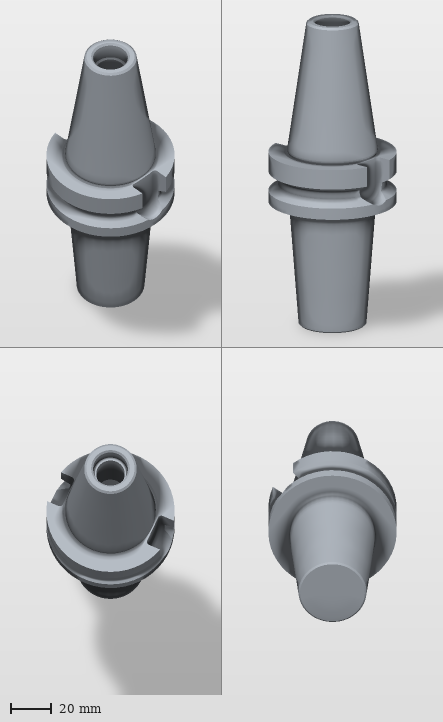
import cadquery as cq
import math

total_height = 155.4
gauge_height = 90.0
flange_top = 88.5
upper_rim_bottom = 78.5
lower_rim_top = 68.7
flange_bottom = 63.0
nose_cone_top = 57.0

flange_diameter = 63.0
flange_radius = flange_diameter / 2
v_groove_radius = 26.5
gauge_radius = 22.2
shank_end_radius = 12.7
neck_radius = 21.0
nose_end_radius = 16.6

end_chamfer = 1.0
nose_chamfer = 0.8
neck_fillet = 1.5
v_groove_fillet = 1.0
v_groove_slope = math.radians(30)

relief_outer_radius = 23.8
relief_radius = 21.8
relief_depth = 0.3
relief_floor_radius = 23.0
gauge_band_width = 0.8
relief_top = gauge_height - gauge_band_width

slot_width = 16.3
slot_bottom = 67.1
slot_floor = 22.7
slot_floor_fillet = 1.7

bore_radius = 8.5
bore_depth = 8.9
bore_chamfer = 1.0
drill_radius = 7.0
drill_depth = 38.8
drill_tip_angle = math.radians(118)


def revolved_body():
    groove_rise = (flange_radius - v_groove_radius) * math.tan(v_groove_slope)
    nose_slope = (neck_radius - nose_end_radius) / nose_cone_top
    shank_slope = (gauge_radius - shank_end_radius) / (total_height - gauge_height)
    fillet_offset = neck_fillet * math.sqrt(0.5)
    fillet_center = (neck_radius + neck_fillet, flange_bottom - neck_fillet)
    return (
        cq.Workplane("XZ")
        .lineTo(nose_end_radius - nose_chamfer, 0)
        .lineTo(nose_end_radius + nose_chamfer * nose_slope, nose_chamfer)
        .lineTo(neck_radius, nose_cone_top)
        .lineTo(neck_radius, fillet_center[1])
        .threePointArc(
            (fillet_center[0] - fillet_offset, fillet_center[1] + fillet_offset),
            (fillet_center[0], flange_bottom),
        )
        .lineTo(flange_radius, flange_bottom)
        .lineTo(flange_radius, lower_rim_top)
        .lineTo(v_groove_radius, lower_rim_top + groove_rise)
        .lineTo(v_groove_radius, upper_rim_bottom - groove_rise)
        .lineTo(flange_radius, upper_rim_bottom)
        .lineTo(flange_radius, flange_top)
        .lineTo(relief_outer_radius, flange_top)
        .lineTo(relief_floor_radius, flange_top - relief_depth)
        .lineTo(relief_radius, flange_top - relief_depth)
        .lineTo(relief_radius, relief_top)
        .lineTo(gauge_radius, relief_top)
        .lineTo(gauge_radius, gauge_height)
        .lineTo(shank_end_radius + end_chamfer * shank_slope, total_height - end_chamfer)
        .lineTo(shank_end_radius - end_chamfer, total_height)
        .lineTo(0, total_height)
        .close()
        .revolve(360, (0, 0), (0, 1))
    )


def fillet_v_groove(body):
    """Round the two inner corners of the V groove."""
    reach = v_groove_radius + v_groove_fillet / 2
    corners = body.edges(
        cq.selectors.BoxSelector(
            (-reach, -reach, lower_rim_top),
            (reach, reach, upper_rim_bottom),
            boundingbox=True,
        )
    ).edges("%CIRCLE")
    return corners.fillet(v_groove_fillet)


def drive_slot():
    """Round-bottomed slot cutter on the +X side, open at the top and outside."""
    half_width = slot_width / 2
    arc_center = slot_bottom + half_width
    slot_top = flange_top + 2 * slot_floor_fillet
    cutter = (
        cq.Workplane("YZ", origin=(slot_floor, 0, 0))
        .moveTo(-half_width, slot_top)
        .lineTo(-half_width, arc_center)
        .threePointArc((0, slot_bottom), (half_width, arc_center))
        .lineTo(half_width, slot_top)
        .close()
        .extrude(flange_radius)
    )
    return cutter.faces("<X").edges("not(>Z)").fillet(slot_floor_fillet)


def draw_bar_bore():
    """Stepped blind bore with a chamfered mouth and a drilled tip."""
    tip_depth = drill_radius / math.tan(drill_tip_angle / 2)
    return (
        cq.Workplane("XZ")
        .moveTo(0, total_height)
        .lineTo(bore_radius + bore_chamfer, total_height)
        .lineTo(bore_radius, total_height - bore_chamfer)
        .lineTo(bore_radius, total_height - bore_depth)
        .lineTo(drill_radius, total_height - bore_depth)
        .lineTo(drill_radius, total_height - drill_depth)
        .lineTo(0, total_height - drill_depth - tip_depth)
        .close()
        .revolve(360, (0, 0), (0, 1))
    )


result = fillet_v_groove(revolved_body()).cut(draw_bar_bore())
for slot_angle in (0, 180):
    result = result.cut(drive_slot().rotate((0, 0, 0), (0, 0, 1), slot_angle))